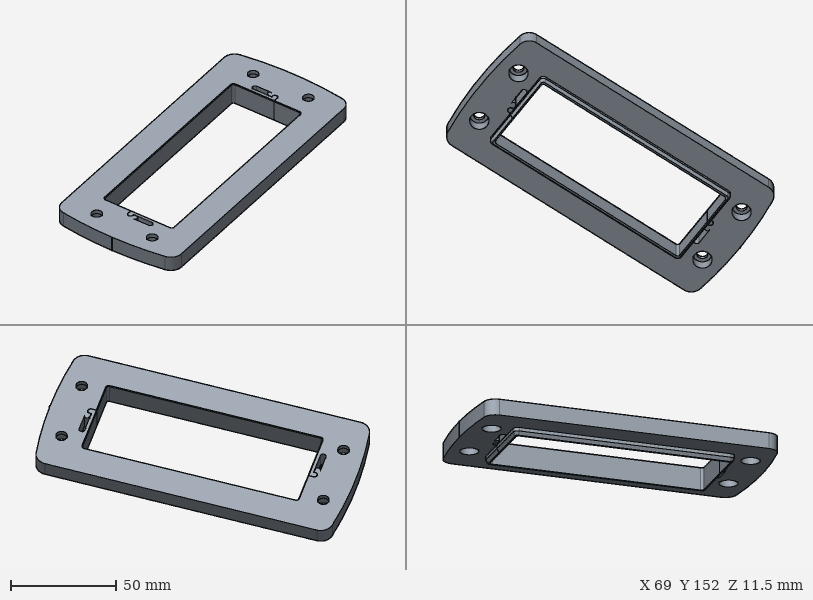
import cadquery as cq
import math

length = 152.0
width = 69.0
height = 11.5

plate_thickness = 8.0
plate_bottom = height - plate_thickness
corner_radius = 6.1
end_radius = 191.5

rib_width = 0.5
rib_height = 0.23
rib_x = 0.38
rib_overlap = 1.5

opening_width = 39.5
opening_length = 107.3
opening_radius = 1.2
opening_chamfer = 0.38

rim_width = 43.8
rim_length = 111.0
rim_radius = 2.3
rim_taper_height = plate_bottom / 2
rim_taper_inset = 1.14

hole_diameter = 5.5
hole_spacing_x = 31.9
hole_spacing_y = 130.1
hole_neck_depth = 2.1
counterbore_diameter = 9.1

slot_height = 2.7
slot_left = -10.6
slot_bottom = 55.6
slot_top = slot_bottom + slot_height
nose_x = -0.8
nose_radius = 1.2
slit_width = 0.2
hook_left = 1.2
hook_right = 4.0
hook_top = 57.8


def make_plate():
    """Flat plate with straight long sides, bowed ends and rounded corners."""
    half_width = width / 2
    end_y = length / 2
    rib_foot_y = end_y - rib_height
    end_drop = end_radius - math.sqrt(end_radius**2 - half_width**2)
    plate = (
        cq.Workplane("XY", origin=(0, 0, plate_bottom))
        .moveTo(half_width, end_drop - rib_foot_y)
        .lineTo(half_width, end_y - end_drop)
        .threePointArc((0, end_y), (-half_width, end_y - end_drop))
        .lineTo(-half_width, end_drop - rib_foot_y)
        .threePointArc((0, -rib_foot_y), (half_width, end_drop - rib_foot_y))
        .close()
        .extrude(plate_thickness)
        .edges("|Z")
        .fillet(corner_radius)
    )
    rib_depth = rib_overlap + rib_height
    rib = cq.Workplane("XY").box(rib_width, rib_depth, plate_thickness, centered=(True, False, False))
    return plate.union(rib.translate((rib_x, -end_y, plate_bottom)))


def rounded_rectangle(x_size, y_size, radius):
    return cq.Sketch().rect(x_size, y_size).vertices().fillet(radius)


def make_rim():
    """Rounded rectangular block whose lower half tapers inward."""
    return (
        cq.Workplane("XY")
        .placeSketch(rounded_rectangle(rim_width, rim_length, rim_radius))
        .extrude(plate_bottom)
        .faces("<Z")
        .chamfer(rim_taper_height, rim_taper_inset)
    )


def make_opening():
    """Cutter for the opening, flared at 45 degrees at the top face."""
    flare = 2 * opening_chamfer
    opening = (
        cq.Workplane("XY")
        .placeSketch(rounded_rectangle(opening_width, opening_length, opening_radius))
        .extrude(height)
    )
    mouth = rounded_rectangle(opening_width + flare, opening_length + flare, opening_radius + opening_chamfer)
    chamfer = (
        cq.Workplane("XY", origin=(0, 0, height))
        .placeSketch(mouth)
        .extrude(-opening_chamfer, taper=45)
    )
    return opening.union(chamfer)


def make_holes():
    """Cutter for the four counterbored screw holes."""
    spots = cq.Workplane("XY").rect(hole_spacing_x, hole_spacing_y, forConstruction=True).vertices()
    bores = spots.circle(hole_diameter / 2).extrude(height)
    counterbores = spots.circle(counterbore_diameter / 2).extrude(height - hole_neck_depth)
    return bores.union(counterbores)


def make_snap_cut():
    """Cutter that frees the snap arm on the +Y side of the opening."""
    slot_radius = slot_height / 2
    slot_round_x = slot_left + slot_radius
    slot = (
        cq.Workplane("XY")
        .moveTo(nose_x, slot_bottom)
        .lineTo(nose_x, slot_top)
        .lineTo(slot_round_x, slot_top)
        .threePointArc((slot_left, slot_bottom + slot_radius), (slot_round_x, slot_bottom))
        .close()
        .extrude(height)
    )
    nose = cq.Workplane("XY").center(nose_x, slot_top - nose_radius).circle(nose_radius).extrude(height)

    slit_y = slot_bottom + slit_width / 2
    hook_radius = (hook_right - hook_left) / 2
    hook_center_y = hook_top - hook_radius
    slit = (
        cq.Workplane("XY")
        .moveTo(nose_x - nose_radius, slit_y)
        .lineTo(hook_left, slit_y)
        .lineTo(hook_left, hook_center_y)
        .threePointArc((hook_left + hook_radius, hook_top), (hook_right, hook_center_y))
        .lineTo(hook_right, opening_length / 2 - slit_width)
        .offset2D(slit_width / 2)
        .extrude(height)
    )
    return slot.cut(nose).union(slit)


snap_cut = make_snap_cut()
result = make_plate().union(make_rim()).cut(make_opening()).cut(make_holes())
for turn in (0, 180):
    result = result.cut(snap_cut.rotate((0, 0, 0), (0, 0, 1), turn))